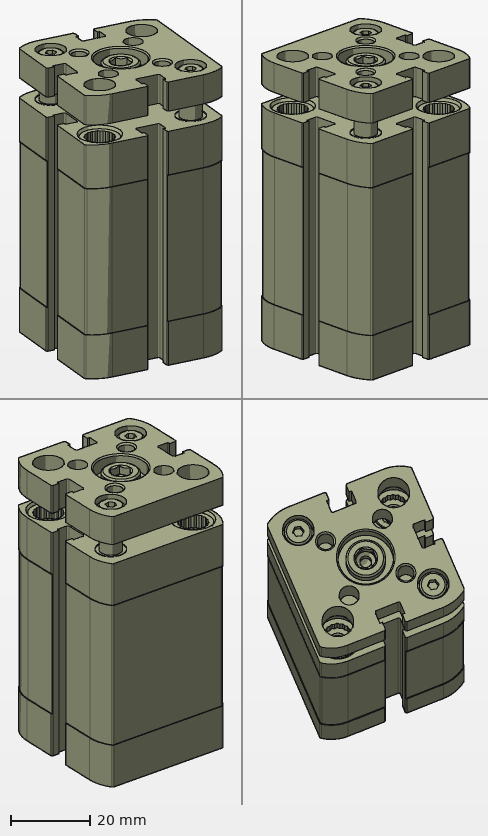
import cadquery as cq
import math


WIDTH = 39.5
HEIGHT = 77.5
HALF_WIDTH = WIDTH / 2
PLATE_THICKNESS = 8.0
PLATE_BOTTOM = HEIGHT - PLATE_THICKNESS
HOUSING_HEIGHT = 64.0
CAP_HEIGHT = 12.0
BARREL_INSET = 0.2
ROD_BOTTOM = HOUSING_HEIGHT - CAP_HEIGHT

BORE_OFFSET = 13.0
FIXING_OFFSET = 7.75

CORNER_RADIUS = 11.0
CORNER_EDGE_FILLET = 0.8

SLOT_MOUTH = 5.4
SLOT_WIDTH = 6.8
SLOT_DEPTH = 5.65
LIP_THICKNESS = 2.25
LIP_CHAMFER = 0.3
SLOT_FILLET = 0.5
SLOT_ANGLES = (-90, 0, 90)

ROD_DIAMETER = 10.0
ROD_TOP = HEIGHT - 0.9
ROD_END_DIAMETER = 9.0
FLAT_WIDTH = 9.0
FLAT_BOTTOM = HOUSING_HEIGHT + 1.25
ROD_HEX_WIDTH = 5.0
ROD_HEX_DEPTH = 2.5
ROD_HEX_MOUTH_DIAMETER = 6.0
ROD_BORE_DIAMETER = 3.0
ROD_BORE_DEPTH = 5.0
DRILL_POINT_SLOPE = math.tan(math.radians(31))

GUIDE_DIAMETER = 6.0
GUIDE_HEAD_DIAMETER = 7.0
GUIDE_HEAD_END_DIAMETER = GUIDE_DIAMETER
GUIDE_HEAD_TOP = HEIGHT - 0.8
GUIDE_RECESS_DIAMETER = 8.0
GUIDE_HEX_CORNERS = 2.9
GUIDE_HEX_DEPTH = 2.0
GUIDE_HEX_TURN = 15
GUIDE_SEAT_DEPTH = 0.2

RECESS_DEPTH = 4.0
RECESS_FLOOR = HEIGHT - RECESS_DEPTH
ROD_RECESS_DIAMETER = 14.0
ROD_RECESS_MOUTH_DIAMETER = ROD_RECESS_DIAMETER + 0.8
DOWEL_HOLE_DIAMETER = 5.0
THREAD_HOLE_DIAMETER = 4.1
THREAD_MOUTH_DIAMETER = 5.0
ACCESS_HOLE_DIAMETER = 8.0

SEAT_MOUTH_DIAMETER = 11.5
SEAT_FLOOR_DIAMETER = 10.5
SEAT_DEPTH = 0.8
SOCKET_OUTER_DIAMETER = 8.0
SOCKET_INNER_DIAMETER = 7.5
SOCKET_TEETH = 18
SOCKET_DEPTH = 4.5
THROUGH_HOLE_DIAMETER = 4.1
THROUGH_MOUTH_DIAMETER = 5.0


def diagonal_pair(offset, slope):
    """Two opposite points on the diagonal with the given slope, +1 or -1."""
    return [(offset, slope * offset), (-offset, -slope * offset)]


GUIDE_POINTS = diagonal_pair(BORE_OFFSET, 1)
MOUNT_POINTS = diagonal_pair(BORE_OFFSET, -1)
THREAD_POINTS = diagonal_pair(FIXING_OFFSET, 1)
DOWEL_POINTS = diagonal_pair(FIXING_OFFSET, -1)


def cylinder(diameter, bottom, top, point=(0, 0)):
    return cq.Workplane("XY", origin=(*point, bottom)).circle(diameter / 2).extrude(top - bottom)


def cone(bottom_diameter, top_diameter, bottom, top, point=(0, 0)):
    base = cq.Vector(*point, bottom)
    return cq.Workplane(cq.Solid.makeCone(bottom_diameter / 2, top_diameter / 2, top - bottom, base))


def hexagon(corners, bottom, top, point=(0, 0), turn=0):
    prism = cq.Workplane("XY").polygon(6, corners).extrude(top - bottom)
    return prism.rotate((0, 0, 0), (0, 0, 1), turn).translate((*point, bottom))


def chamfered_mouth(hole_diameter, mouth_diameter, top, point=(0, 0)):
    """45 degree cutter that widens a hole to the mouth diameter at its top."""
    depth = (mouth_diameter - hole_diameter) / 2
    return cone(hole_diameter, mouth_diameter, top - depth, top, point)


def chamfered_post(diameter, end_diameter, bottom, top, point=(0, 0)):
    chamfer = (diameter - end_diameter) / 2
    return cylinder(diameter, bottom, top, point).faces(">Z").chamfer(chamfer)


def block(bottom, top, inset=0.0):
    """Prism of the outline, with every side moved inwards by the inset."""
    side = HALF_WIDTH - inset
    radius = CORNER_RADIUS - inset
    arc_centre = side - radius
    arc_angle = math.asin((side - BORE_OFFSET) / radius)
    corner_x = arc_centre + radius * math.cos(arc_angle)
    middle_x = arc_centre + radius * math.cos(arc_angle / 2)
    middle_y = BORE_OFFSET + radius * math.sin(arc_angle / 2)
    prism = (
        cq.Workplane("XY", origin=(0, 0, bottom))
        .moveTo(-corner_x, -side)
        .lineTo(corner_x, -side)
        .threePointArc((middle_x, -middle_y), (side, -BORE_OFFSET))
        .lineTo(side, BORE_OFFSET)
        .threePointArc((middle_x, middle_y), (corner_x, side))
        .lineTo(-corner_x, side)
        .threePointArc((-middle_x, middle_y), (-side, BORE_OFFSET))
        .lineTo(-side, -BORE_OFFSET)
        .threePointArc((-middle_x, -middle_y), (-corner_x, -side))
        .close()
        .extrude(top - bottom)
    )
    return prism.edges("(<Y or >Y) and |Z").fillet(CORNER_EDGE_FILLET)


def slot_cutter(bottom, top):
    """Cutter for the slot in the -Y face."""
    base = cq.Workplane("XY", origin=(0, -HALF_WIDTH, bottom))
    head_length = SLOT_DEPTH - LIP_THICKNESS
    head_centre = (SLOT_DEPTH + LIP_THICKNESS) / 2
    head = base.center(0, head_centre).rect(SLOT_WIDTH, head_length).extrude(top - bottom)
    head = head.edges("|Z and >Y").fillet(SLOT_FILLET)

    half_mouth = SLOT_MOUTH / 2
    half_flare = half_mouth + LIP_CHAMFER
    neck_outline = [
        (-half_flare, -HALF_WIDTH),
        (half_flare, -HALF_WIDTH),
        (half_mouth, -HALF_WIDTH + LIP_CHAMFER),
        (half_mouth, -HALF_WIDTH + LIP_THICKNESS),
        (-half_mouth, -HALF_WIDTH + LIP_THICKNESS),
        (-half_mouth, -HALF_WIDTH + LIP_CHAMFER),
    ]
    neck = cq.Workplane("XY", origin=(0, 0, bottom)).polyline(neck_outline).close().extrude(top - bottom)
    return head.union(neck)


def cut_slots(body, bottom, top):
    """Cut the slots of the -X, -Y and +X faces."""
    cutter = slot_cutter(bottom, top)
    for angle in SLOT_ANGLES:
        body = body.cut(cutter.rotate((0, 0, 0), (0, 0, 1), angle))
    return body


def toothed_socket(bottom, top, point):
    """Round socket cutter whose wall zigzags between its inner and outer diameter."""
    outline = []
    for index in range(SOCKET_TEETH):
        for half_step, diameter in ((0, SOCKET_OUTER_DIAMETER), (0.5, SOCKET_INNER_DIAMETER)):
            angle = 2 * math.pi * (index + half_step) / SOCKET_TEETH
            outline.append((diameter / 2 * math.cos(angle), diameter / 2 * math.sin(angle)))
    return cq.Workplane("XY", origin=(*point, bottom)).polyline(outline).close().extrude(top - bottom)


def mounting_bore(point):
    top = HOUSING_HEIGHT
    socket_floor = top - SOCKET_DEPTH
    seat = cone(SEAT_FLOOR_DIAMETER, SEAT_MOUTH_DIAMETER, top - SEAT_DEPTH, top, point)
    through_hole = cylinder(THROUGH_HOLE_DIAMETER, 0, top, point)
    mouth = chamfered_mouth(THROUGH_HOLE_DIAMETER, THROUGH_MOUTH_DIAMETER, socket_floor, point)
    return seat.union(toothed_socket(socket_floor, top, point)).union(through_hole).union(mouth)


def make_housing():
    top = HOUSING_HEIGHT
    barrel_top = top - CAP_HEIGHT
    lower_cap = block(0, CAP_HEIGHT)
    barrel = block(CAP_HEIGHT, barrel_top, BARREL_INSET)
    upper_cap = block(barrel_top, top)
    body = cut_slots(lower_cap.union(barrel).union(upper_cap), 0, top)

    body = body.cut(cylinder(ROD_DIAMETER, ROD_BOTTOM, top))
    for point in GUIDE_POINTS:
        body = body.cut(cylinder(GUIDE_DIAMETER, ROD_BOTTOM, top, point))
        body = body.cut(cylinder(GUIDE_RECESS_DIAMETER, top - GUIDE_SEAT_DEPTH, top, point))
    for point in MOUNT_POINTS:
        body = body.cut(mounting_bore(point))
    return body


def make_plate():
    plate = cut_slots(block(PLATE_BOTTOM, HEIGHT), PLATE_BOTTOM, HEIGHT)
    plate = plate.cut(cylinder(ROD_RECESS_DIAMETER, RECESS_FLOOR, HEIGHT))
    plate = plate.cut(chamfered_mouth(ROD_RECESS_DIAMETER, ROD_RECESS_MOUTH_DIAMETER, HEIGHT))
    for point in GUIDE_POINTS:
        plate = plate.cut(cylinder(GUIDE_RECESS_DIAMETER, RECESS_FLOOR, HEIGHT, point))
    for point in MOUNT_POINTS:
        plate = plate.cut(cylinder(ACCESS_HOLE_DIAMETER, PLATE_BOTTOM, HEIGHT, point))
    for point in DOWEL_POINTS:
        plate = plate.cut(cylinder(DOWEL_HOLE_DIAMETER, PLATE_BOTTOM, HEIGHT, point))
    for point in THREAD_POINTS:
        plate = plate.cut(cylinder(THREAD_HOLE_DIAMETER, PLATE_BOTTOM, HEIGHT, point))
        plate = plate.cut(chamfered_mouth(THREAD_HOLE_DIAMETER, THREAD_MOUTH_DIAMETER, HEIGHT, point))
    return plate


def rod_socket():
    """Hexagon socket that runs down through a cone into a drilled bore."""
    hex_floor = ROD_TOP - ROD_HEX_DEPTH
    cone_bottom = hex_floor - (ROD_HEX_WIDTH - ROD_BORE_DIAMETER) / 2 * DRILL_POINT_SLOPE
    bore_bottom = ROD_TOP - ROD_BORE_DEPTH
    point_bottom = bore_bottom - ROD_BORE_DIAMETER / 2 * DRILL_POINT_SLOPE
    hex_corners = ROD_HEX_WIDTH / math.cos(math.pi / 6)
    return (
        hexagon(hex_corners, hex_floor, ROD_TOP)
        .union(chamfered_mouth(ROD_HEX_WIDTH, ROD_HEX_MOUTH_DIAMETER, ROD_TOP))
        .union(cone(ROD_BORE_DIAMETER, ROD_HEX_WIDTH, cone_bottom, hex_floor))
        .union(cylinder(ROD_BORE_DIAMETER, bore_bottom, cone_bottom))
        .union(cone(0, ROD_BORE_DIAMETER, point_bottom, bore_bottom))
    )


def make_piston_rod():
    """Rod with two spanner flats, facing -Y and +Y, below the plate."""
    rod = chamfered_post(ROD_DIAMETER, ROD_END_DIAMETER, ROD_BOTTOM, ROD_TOP)
    flat_zone = cylinder(ROD_DIAMETER, FLAT_BOTTOM, PLATE_BOTTOM)
    flat_core = (
        cq.Workplane("XY", origin=(0, 0, FLAT_BOTTOM))
        .rect(ROD_DIAMETER, FLAT_WIDTH)
        .extrude(PLATE_BOTTOM - FLAT_BOTTOM)
    )
    return rod.cut(flat_zone.cut(flat_core)).cut(rod_socket())


def make_guide_rod(point):
    rod = cylinder(GUIDE_DIAMETER, ROD_BOTTOM, RECESS_FLOOR, point)
    head = chamfered_post(GUIDE_HEAD_DIAMETER, GUIDE_HEAD_END_DIAMETER, RECESS_FLOOR, GUIDE_HEAD_TOP, point)
    socket_floor = GUIDE_HEAD_TOP - GUIDE_HEX_DEPTH
    socket = hexagon(GUIDE_HEX_CORNERS, socket_floor, GUIDE_HEAD_TOP, point, GUIDE_HEX_TURN)
    return rod.union(head).cut(socket)


def make_moving_unit():
    rod_hole = cylinder(ROD_DIAMETER, PLATE_BOTTOM, RECESS_FLOOR)
    unit = make_plate().cut(rod_hole).union(make_piston_rod())
    for point in GUIDE_POINTS:
        unit = unit.union(make_guide_rod(point))
    return unit


housing = make_housing()
moving_unit = make_moving_unit()

result = cq.Compound.makeCompound([housing.solids().val(), moving_unit.solids().val()])